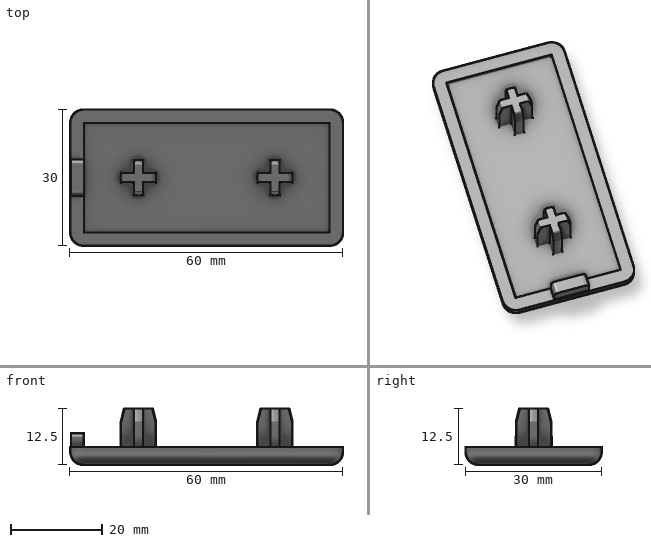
import cadquery as cq

length = 60
width = 30
plate_height = 4.0
edge_radius = 3

rim = 3
pocket_depth = 1.0
floor_fillet = 0.2

overall_height = 12.5
post_spacing = 30
post_radius = 3.9
arm_width = 2.0
taper_height = 3
taper_inset = 0.7
post_tip_fillet = 0.5

tab_width = 8.0
tab_height = 3
tab_setback = 0.2
tab_fillet = 1.0

floor_z = plate_height - pocket_depth


def make_plate():
    """Rounded slab: two crossing blocks whose long edges are rounded, plus spherical corners."""
    straight_length = length - 2 * edge_radius
    straight_width = width - 2 * edge_radius
    lengthwise = (
        cq.Workplane("XY")
        .box(straight_length, width, plate_height, centered=(True, True, False))
        .edges("|X and <Z")
        .fillet(edge_radius)
    )
    crosswise = (
        cq.Workplane("XY")
        .box(length, straight_width, plate_height, centered=(True, True, False))
        .edges("|Y and <Z")
        .fillet(edge_radius)
    )
    corner = (
        cq.Workplane("XZ")
        .moveTo(0, 0)
        .radiusArc((edge_radius, edge_radius), -edge_radius)
        .lineTo(edge_radius, plate_height)
        .lineTo(0, plate_height)
        .close()
        .revolve(360, (0, 0, 0), (0, 1, 0))
    )
    plate = lengthwise.union(crosswise)
    for side_x in (-1, 1):
        for side_y in (-1, 1):
            plate = plate.union(
                corner.translate((side_x * straight_length / 2, side_y * straight_width / 2, 0))
            )
    return plate


def make_pocket():
    """Sharp-cornered pocket with a small fillet around its floor."""
    return (
        cq.Workplane("XY")
        .workplane(offset=floor_z)
        .rect(length - 2 * rim, width - 2 * rim)
        .extrude(pocket_depth)
        .faces("<Z")
        .edges()
        .fillet(floor_fillet)
    )


def cross_prism(arm_length, thickness, height):
    """Upright prism of cross section centred on the Z axis, standing on the pocket floor."""
    base = cq.Workplane("XY").workplane(offset=floor_z)
    arm_x = base.rect(arm_length, thickness).extrude(height)
    arm_y = base.rect(thickness, arm_length).extrude(height)
    return arm_x.union(arm_y)


def make_post():
    """Cross trimmed by a round envelope that tapers to a rounded tip."""
    envelope = (
        cq.Workplane("XZ")
        .moveTo(0, floor_z)
        .lineTo(post_radius, floor_z)
        .lineTo(post_radius, overall_height - taper_height)
        .lineTo(post_radius - taper_inset, overall_height)
        .lineTo(0, overall_height)
        .close()
        .revolve(360, (0, 0, 0), (0, 1, 0))
        .faces(">Z")
        .edges()
        .fillet(post_tip_fillet)
    )
    return cross_prism(2 * post_radius, arm_width, overall_height - floor_z).intersect(envelope)


def make_tab():
    """Block on the rim, flush with the pocket wall, with rounded upper side edges."""
    return (
        cq.Workplane("XY")
        .workplane(offset=plate_height)
        .center(-length / 2 + (rim + tab_setback) / 2, 0)
        .rect(rim - tab_setback, tab_width)
        .extrude(tab_height)
        .edges("|X and >Z")
        .fillet(tab_fillet)
    )


def fillet_post_bases(body):
    """Blend the foot of each post into the pocket floor."""
    post_reach = post_radius + floor_fillet / 2
    for side in (-1, 1):
        post_x = side * post_spacing / 2
        foot_zone = cq.selectors.BoxSelector(
            (post_x - post_reach, -post_reach, floor_z - floor_fillet),
            (post_x + post_reach, post_reach, floor_z + floor_fillet),
        )
        body = body.edges(foot_zone).fillet(floor_fillet)
    return body


body = make_plate().cut(make_pocket())
post = make_post()
for side in (-1, 1):
    body = body.union(post.translate((side * post_spacing / 2, 0, 0)))
body = fillet_post_bases(body)
result = body.union(make_tab())